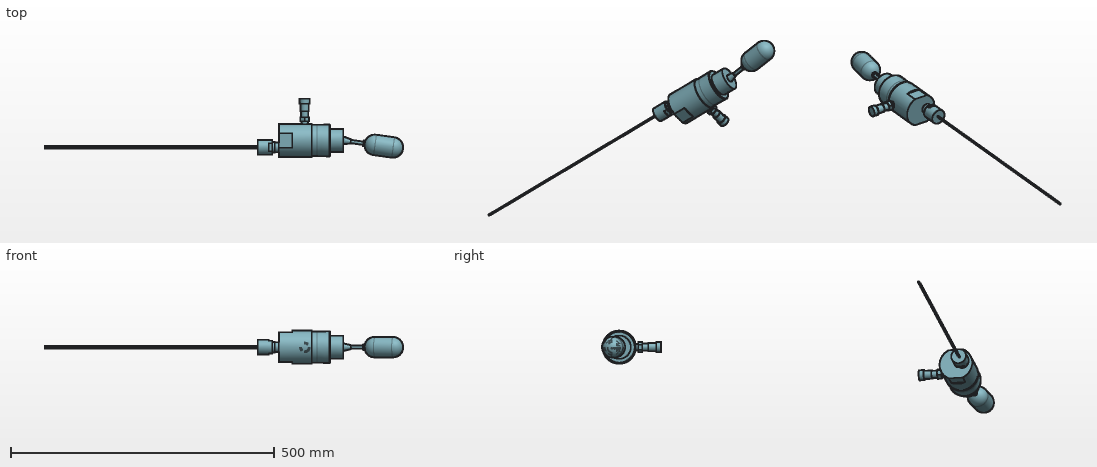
import cadquery as cq
import math

TOTAL_LENGTH = 680.5

HOUSING_START = 444.5
BARREL_END = 507.0
COLLAR_TAPER_START = 516.5
COLLAR_END = 542.0
HOUSING_END = 567.0
BARREL_DIAMETER = 63.0
COLLAR_DIAMETER = 60.0
COLLAR_END_DIAMETER = 61.0
COLLAR_CHAMFER = 1.5
NOSE_DIAMETER = 44.0
FLAT_LENGTH = 25.0
ACROSS_FLATS = 57.0

GLAND_Y = -13.0
GLAND_START = 404.0
GLAND_FLAT_START = 425.5
GLAND_CAP_END = 432.0
GLAND_DIAMETER = 28.5
GLAND_ACROSS_FLATS = 24.5
GLAND_RING_DIAMETER = 20.5
GLAND_RING_LENGTH = 4.0
GLAND_NECK_DIAMETER = 19.0

WIRE_DIAMETER = 3.0
WIRE_PITCH_Y = 3.0
WIRE_PITCH_Z = 3.5
WIRE_EMBED = 7.0

CONNECTOR_X = 493.5
CONNECTOR_ROOT = 15.5
CONNECTOR_TOP = 79.5
CONNECTOR_CAP_START = 70.0
CONNECTOR_SLEEVE_START = 55.0
CONNECTOR_HEX_END = 44.0
CONNECTOR_HEX_START = 36.0
CONNECTOR_CAP_DIAMETER = 20.0
CONNECTOR_SLEEVE_DIAMETER = 16.0
CONNECTOR_STEM_DIAMETER = 14.0
CONNECTOR_NECK_DIAMETER = 13.0

FLOAT_TILT = 8.0
FLOAT_DIAMETER = 39.5
FLOAT_BARREL_LENGTH = 35.0
STEM_DIAMETER = 7.0
BOOT_EMBED = 11.0
BOOT_LENGTH = 14.0
BOOT_DIAMETER = 15.0
BOOT_TIP_DIAMETER = 8.0
FLOAT_COLLAR_DIAMETER = 11.0
FLOAT_COLLAR_LENGTH = 5.0


def rod_x(start, end, diameter, y=0, z=0):
    """Cylinder along X between two X positions."""
    return cq.Workplane("YZ", origin=(start, y, z)).circle(diameter / 2).extrude(end - start)


def rod_y(start, end, diameter):
    """Cylinder on the connector axis between two Y positions."""
    plane = cq.Plane(origin=(CONNECTOR_X, start, 0), xDir=(0, 0, 1), normal=(0, 1, 0))
    return cq.Workplane(plane).circle(diameter / 2).extrude(end - start)


def flats_cutter(start, end, across_flats, y=0):
    """Material above and below a pair of flats facing +Z and -Z."""
    width = 2 * BARREL_DIAMETER
    return (
        cq.Workplane("YZ", origin=(start, y, 0))
        .rect(width, width)
        .rect(width, across_flats)
        .extrude(end - start)
    )


def make_housing():
    barrel = rod_x(HOUSING_START, BARREL_END, BARREL_DIAMETER)
    barrel = barrel.cut(flats_cutter(HOUSING_START, HOUSING_START + FLAT_LENGTH, ACROSS_FLATS))
    band = rod_x(BARREL_END, COLLAR_TAPER_START, COLLAR_DIAMETER)
    taper = (
        cq.Workplane("YZ", origin=(COLLAR_TAPER_START, 0, 0))
        .circle(COLLAR_DIAMETER / 2)
        .workplane(offset=COLLAR_END - COLLAR_TAPER_START)
        .circle(COLLAR_END_DIAMETER / 2)
        .loft()
        .faces(">X")
        .chamfer(COLLAR_CHAMFER)
    )
    nose = rod_x(COLLAR_END, HOUSING_END, NOSE_DIAMETER)
    return barrel.union(band).union(taper).union(nose)


def make_gland():
    ring_end = GLAND_CAP_END + GLAND_RING_LENGTH
    cap = rod_x(GLAND_START, GLAND_CAP_END, GLAND_DIAMETER, GLAND_Y)
    cap = cap.cut(flats_cutter(GLAND_FLAT_START, GLAND_CAP_END, GLAND_ACROSS_FLATS, GLAND_Y))
    ring = rod_x(GLAND_CAP_END, ring_end, GLAND_RING_DIAMETER, GLAND_Y)
    neck = rod_x(ring_end, HOUSING_START, GLAND_NECK_DIAMETER, GLAND_Y)
    return cap.union(ring).union(neck)


def make_wires():
    wires = cq.Workplane()
    for side in (-1, 1):
        y = GLAND_Y + side * WIRE_PITCH_Y / 2
        z = side * WIRE_PITCH_Z / 2
        wires = wires.add(rod_x(0, GLAND_START + WIRE_EMBED, WIRE_DIAMETER, y, z))
    return wires.combine()


def make_connector():
    cap = rod_y(CONNECTOR_CAP_START, CONNECTOR_TOP, CONNECTOR_CAP_DIAMETER)
    sleeve = rod_y(CONNECTOR_SLEEVE_START, CONNECTOR_CAP_START, CONNECTOR_SLEEVE_DIAMETER)
    stem = rod_y(CONNECTOR_HEX_END, CONNECTOR_SLEEVE_START, CONNECTOR_STEM_DIAMETER)
    neck = rod_y(CONNECTOR_ROOT, CONNECTOR_HEX_START, CONNECTOR_NECK_DIAMETER)
    plane = cq.Plane(origin=(CONNECTOR_X, CONNECTOR_HEX_START, 0), xDir=(0, 0, 1), normal=(0, 1, 0))
    hexagon = (
        cq.Workplane(plane)
        .polygon(6, CONNECTOR_CAP_DIAMETER)
        .extrude(CONNECTOR_HEX_END - CONNECTOR_HEX_START)
    )
    return cap.union(sleeve).union(stem).union(hexagon).union(neck)


def make_float():
    """Boot, stem and capsule float, turned as one profile and tilted about the nose face."""
    radius = FLOAT_DIAMETER / 2
    far_centre = (TOTAL_LENGTH - radius - HOUSING_END) / math.cos(math.radians(FLOAT_TILT))
    near_centre = far_centre - FLOAT_BARREL_LENGTH
    collar_radius = FLOAT_COLLAR_DIAMETER / 2
    collar_end = near_centre - math.sqrt(radius**2 - collar_radius**2)
    collar_start = near_centre - radius - FLOAT_COLLAR_LENGTH / 2
    bend = math.sqrt(0.5) * radius
    root = -BOOT_EMBED
    profile = (
        cq.Workplane("XY")
        .moveTo(root, 0)
        .lineTo(root, BOOT_DIAMETER / 2)
        .lineTo(0, BOOT_DIAMETER / 2)
        .lineTo(BOOT_LENGTH, BOOT_TIP_DIAMETER / 2)
        .lineTo(BOOT_LENGTH, STEM_DIAMETER / 2)
        .lineTo(collar_start, STEM_DIAMETER / 2)
        .lineTo(collar_start, collar_radius)
        .lineTo(collar_end, collar_radius)
        .threePointArc((near_centre - bend, bend), (near_centre, radius))
        .lineTo(far_centre, radius)
        .threePointArc((far_centre + bend, bend), (far_centre + radius, 0))
        .close()
    )
    turned = profile.revolve(360, (0, 0, 0), (1, 0, 0))
    return turned.rotate((0, 0, 0), (0, 0, 1), -FLOAT_TILT).translate((HOUSING_END, 0, 0))


result = make_housing()
for piece in (make_gland(), make_wires(), make_connector(), make_float()):
    result = result.union(piece)